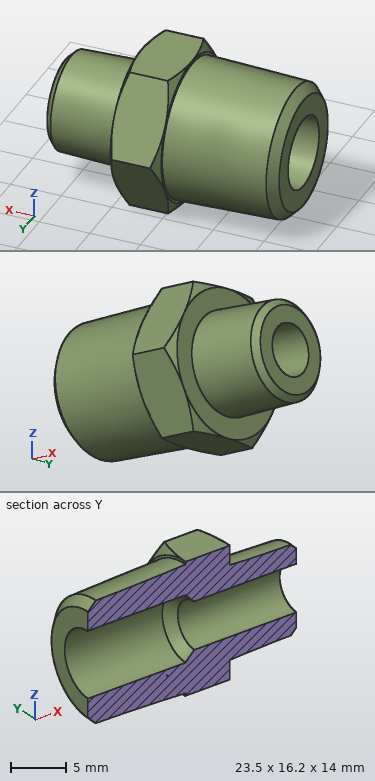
import cadquery as cq
import math

length = 23.5
hex_sides = 6
hex_across_flats = 14.0
hex_start = 11.0
hex_width = 5.0
hex_chamfer_angle = 30.0
taper = 1 / 16

large_gauge_diameter = 13.15
large_gauge_length = 6.0
large_chamfer = 0.9

small_gauge_diameter = 9.73
small_gauge_length = 4.0
small_chamfer = 0.6

bore_diameter = 5.0
large_bore_diameter = 7.0
large_bore_depth = hex_start
bore_cone_angle = 45.0

large_end_x = -length / 2
small_end_x = length / 2
hex_start_x = large_end_x + hex_start
hex_end_x = hex_start_x + hex_width


def revolve_about_x(profile_points):
    """Solid of revolution about X from (x, radius) points."""
    return cq.Workplane("XY").polyline(profile_points).close().revolve(360, (0, 0, 0), (1, 0, 0))


def tapered_end(end_x, root_x, gauge_diameter, gauge_length, chamfer):
    """Tapered spigot from its chamfered end face to its root at the hexagon."""
    inward = math.copysign(1, root_x - end_x)

    def radius_at(distance):
        return (gauge_diameter + taper * (distance - gauge_length)) / 2

    chamfer_radius = radius_at(chamfer)
    return revolve_about_x([
        (end_x, 0),
        (end_x, chamfer_radius - chamfer),
        (end_x + inward * chamfer, chamfer_radius),
        (root_x, radius_at(abs(root_x - end_x))),
        (root_x, 0),
    ])


def chamfered_hexagon():
    """Hexagon with corners along Y, both end faces turned down to a circle touching the flats."""
    corner_radius = hex_across_flats / 2 / math.cos(math.pi / hex_sides)
    face_radius = hex_across_flats / 2
    corner_setback = (corner_radius - face_radius) * math.tan(math.radians(hex_chamfer_angle))
    prism = (
        cq.Workplane("YZ", origin=(hex_start_x, 0, 0))
        .polygon(hex_sides, 2 * corner_radius)
        .extrude(hex_width)
    )
    turned_blank = revolve_about_x([
        (hex_start_x, 0),
        (hex_start_x, face_radius),
        (hex_start_x + corner_setback, corner_radius),
        (hex_end_x - corner_setback, corner_radius),
        (hex_end_x, face_radius),
        (hex_end_x, 0),
    ])
    return prism.intersect(turned_blank)


def stepped_bore():
    """Through bore, wider from the large end and narrowing through a cone."""
    bore_radius = bore_diameter / 2
    large_bore_radius = large_bore_diameter / 2
    step_x = large_end_x + large_bore_depth
    cone_length = (large_bore_radius - bore_radius) / math.tan(math.radians(bore_cone_angle))
    return revolve_about_x([
        (large_end_x, 0),
        (large_end_x, large_bore_radius),
        (step_x, large_bore_radius),
        (step_x + cone_length, bore_radius),
        (small_end_x, bore_radius),
        (small_end_x, 0),
    ])


large_end = tapered_end(
    large_end_x, hex_start_x, large_gauge_diameter, large_gauge_length, large_chamfer
)
small_end = tapered_end(
    small_end_x, hex_end_x, small_gauge_diameter, small_gauge_length, small_chamfer
)
result = chamfered_hexagon().union(large_end).union(small_end).cut(stepped_bore())